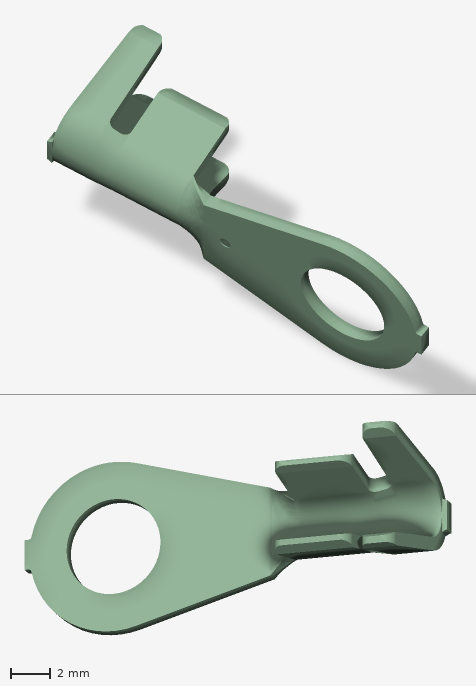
import cadquery as cq
import math

length = 22.67
sheet = 0.7

ring_diameter = 9.0
ring_radius = ring_diameter / 2
hole_radius = 2.52
carrier_stub = 0.27
ring_x = length - carrier_stub - ring_radius
tongue_taper = 15.5
tongue_start_x = 9.48
end_tab_half_width = 0.8
end_tab_fillet = 0.18
dimple_x = 10.8
dimple_radius = 0.32
dimple_depth = 0.07

insulation_radius = 2.22
insulation_angle = 12.6
insulation_reach = 7.37
insulation_tip_insets = (0.18, 0.15)
insulation_start_x = 0.23
insulation_tip_x = 0.82
insulation_end_x = 2.55
insulation_corner = 0.68

wire_radius = 1.93
wire_angle = 11.0
wire_reach = 5.37
wire_tip_insets = (0.36, 0.05)
wire_start_x = 3.76
wire_end_x = 7.87
wire_corner = 0.65

tip_length = 0.7

notch_floor = 1.7
notch_corner = 0.4

cut_tab_half_width = 0.8
cut_tab_root_half_width = 0.9
cut_tab_straight = 0.07
cut_tab_root_x = 0.3

waist_middle_x = (wire_end_x + tongue_start_x) / 2
waist_middle_half_width = 2.02

taper = math.radians(tongue_taper)
tangent_x = ring_x - ring_radius * math.sin(taper)
tangent_z = ring_radius * math.cos(taper)
tongue_start_half_width = tangent_z - (tangent_x - tongue_start_x) * math.tan(taper)


def mirrored(points):
    """The same points below the symmetry plane, in reverse order."""
    return [(y, -z) for y, z in reversed(points)]


def channel_wire(x, outer_side, inner_side):
    """Closed U section at the given X from its upper outer and upper inner points.

    outer_side runs from the bend to the wing tip, inner_side from the tip back to the bend.
    """
    upper = outer_side + inner_side
    lower = mirrored(upper)
    section = cq.Workplane("YZ", origin=(x, 0, 0)).moveTo(*lower[-1])
    section = section.threePointArc((0, 0), upper[0])
    for point in upper[1:]:
        section = section.lineTo(*point)
    section = section.threePointArc((sheet, 0), lower[0])
    for point in lower[1:-1]:
        section = section.lineTo(*point)
    return section.close()


def crimp_section(x, radius, angle, reach, tip_insets):
    """U section with a round bend, leaning wings and coined tips."""
    outer_inset, inner_inset = tip_insets
    lean = math.radians(angle)
    sine = math.sin(lean)
    cosine = math.cos(lean)
    wing_y = radius - radius * sine
    wing_z = radius * cosine
    wing_length = (reach - wing_y - (sheet - inner_inset) * sine) / cosine
    crease = wing_length - tip_length

    def wing_point(along, depth):
        return (wing_y + along * cosine + depth * sine, wing_z + along * sine - depth * cosine)

    outer_side = [wing_point(0, 0), wing_point(crease, 0), wing_point(wing_length, outer_inset)]
    inner_side = [
        wing_point(wing_length, sheet - inner_inset),
        wing_point(crease, sheet),
        wing_point(0, sheet),
    ]
    return channel_wire(x, outer_side, inner_side)


def wing_blank(corners, corner_radius):
    """Prism along Z with the wing's side outline and rounded top corners."""
    blank = cq.Workplane("XY").polyline(corners).close().extrude(ring_radius, both=True)
    return blank.faces(">Y").edges("|Z").fillet(corner_radius)


def insulation_crimp():
    """Taller wings with one slanted free edge."""
    wings = crimp_section(
        0, insulation_radius, insulation_angle, insulation_reach, insulation_tip_insets
    )
    outline = [
        (insulation_start_x, 0),
        (insulation_end_x, 0),
        (insulation_end_x, insulation_reach),
        (insulation_tip_x, insulation_reach),
    ]
    return wings.extrude(insulation_end_x).intersect(wing_blank(outline, insulation_corner))


def wire_crimp():
    """Shorter wings with a square side outline."""
    wings = crimp_section(wire_start_x, wire_radius, wire_angle, wire_reach, wire_tip_insets)
    outline = [
        (wire_start_x, 0),
        (wire_end_x, 0),
        (wire_end_x, wire_reach),
        (wire_start_x, wire_reach),
    ]
    return wings.extrude(wire_end_x - wire_start_x).intersect(wing_blank(outline, wire_corner))


def neck():
    """Channel blending the two bend radii, cut down to the notch floor."""
    big_end = crimp_section(
        insulation_end_x, insulation_radius, insulation_angle, wire_reach, wire_tip_insets
    )
    small_end = crimp_section(wire_start_x, wire_radius, wire_angle, wire_reach, wire_tip_insets)
    channel = cq.Solid.makeLoft([big_end.val(), small_end.val()], True)
    notch = (
        cq.Workplane("XY")
        .moveTo(insulation_end_x, notch_floor)
        .lineTo(wire_start_x, notch_floor)
        .lineTo(wire_start_x, insulation_reach)
        .lineTo(insulation_end_x, insulation_reach)
        .close()
        .extrude(ring_radius, both=True)
        .faces("<Y").edges("|Z").fillet(notch_corner)
    )
    return cq.Workplane(channel).cut(notch)


def transition():
    """Channel opening out from the wire crimp bend to the flat tongue, with waisted sides."""
    lean = math.radians(wire_angle)
    inner_radius = wire_radius - sheet
    bend_edge = [
        (wire_radius - radius * math.sin(lean), radius * math.cos(lean))
        for radius in (wire_radius, inner_radius)
    ]
    channel = channel_wire(wire_end_x, bend_edge[:1], bend_edge[1:])
    flat = (
        cq.Workplane("YZ", origin=(tongue_start_x, 0, 0))
        .moveTo(0, -tongue_start_half_width)
        .lineTo(0, tongue_start_half_width)
        .lineTo(sheet, tongue_start_half_width)
        .lineTo(sheet, -tongue_start_half_width)
        .close()
    )
    flare = cq.Solid.makeLoft([channel.val(), flat.val()], True)
    waist = bend_edge[0][1]
    waisted_outline = (
        cq.Workplane("XZ")
        .moveTo(wire_end_x, -waist)
        .lineTo(wire_end_x, waist)
        .threePointArc(
            (waist_middle_x, waist_middle_half_width),
            (tongue_start_x, tongue_start_half_width),
        )
        .lineTo(tongue_start_x, -tongue_start_half_width)
        .threePointArc((waist_middle_x, -waist_middle_half_width), (wire_end_x, -waist))
        .close()
        .extrude(-wire_reach)
    )
    return cq.Workplane(flare).intersect(waisted_outline)


def cut_tab():
    """Flat tab beyond the insulation crimp, its sides flaring into the crimp edge."""
    return (
        cq.Workplane("XZ")
        .moveTo(0, -cut_tab_half_width)
        .lineTo(0, cut_tab_half_width)
        .lineTo(cut_tab_straight, cut_tab_half_width)
        .lineTo(cut_tab_root_x, cut_tab_root_half_width)
        .lineTo(cut_tab_root_x, -cut_tab_root_half_width)
        .lineTo(cut_tab_straight, -cut_tab_half_width)
        .close()
        .extrude(-sheet)
    )


def tongue():
    """Flat ring with tangent sides, stud hole, end tab and a shallow dimple."""
    plate = (
        cq.Workplane("XZ")
        .moveTo(tongue_start_x, -tongue_start_half_width)
        .lineTo(tangent_x, -tangent_z)
        .threePointArc((ring_x + ring_radius, 0), (tangent_x, tangent_z))
        .lineTo(tongue_start_x, tongue_start_half_width)
        .close()
        .extrude(-sheet)
    )
    tab_length = length - ring_x
    tab = (
        cq.Workplane("XZ", origin=(ring_x + tab_length / 2, 0, 0))
        .rect(tab_length, 2 * end_tab_half_width)
        .extrude(-sheet)
    )
    root_x = ring_x + math.sqrt(ring_radius**2 - end_tab_half_width**2)
    roots = cq.selectors.BoxSelector(
        (root_x - end_tab_fillet / 2, 0, -ring_radius),
        (root_x + end_tab_fillet / 2, sheet, ring_radius),
    )
    hole = cq.Workplane("XZ", origin=(ring_x, 0, 0)).circle(hole_radius).extrude(-sheet)
    dimple = cq.Workplane("XZ", origin=(dimple_x, 0, 0)).circle(dimple_radius).extrude(-dimple_depth)
    return plate.union(tab).edges("|Y").edges(roots).fillet(end_tab_fillet).cut(hole).cut(dimple)


result = (
    insulation_crimp()
    .union(neck())
    .union(wire_crimp())
    .union(transition())
    .union(tongue())
    .union(cut_tab())
)